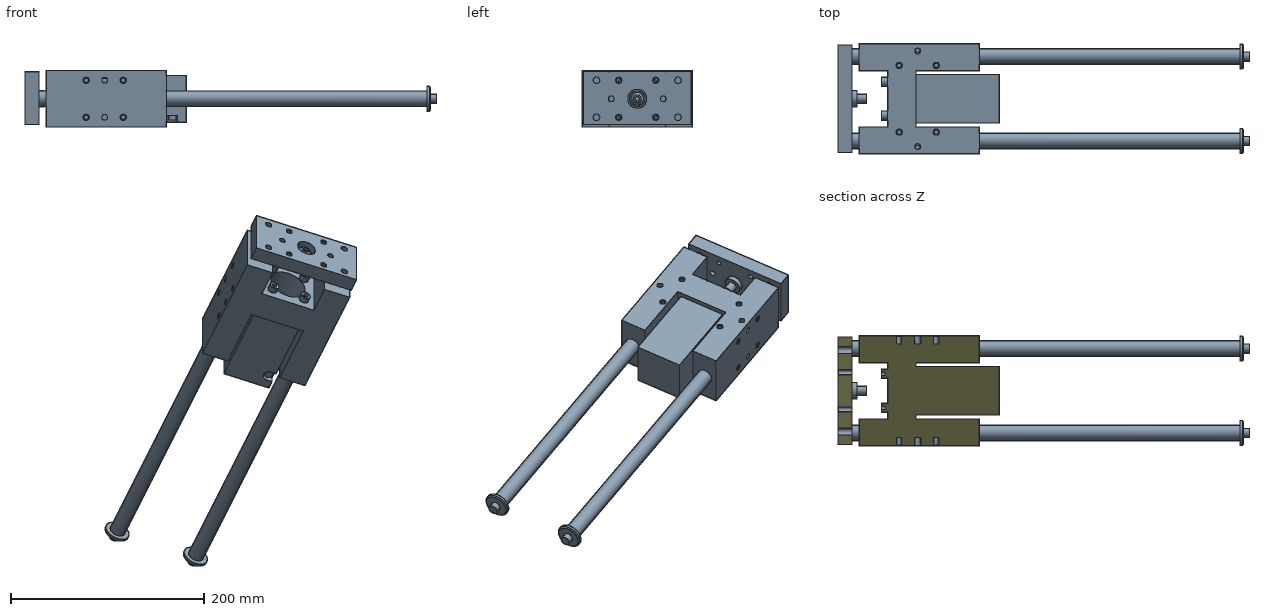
import cadquery as cq

TOTAL_LENGTH = 426.0

ROD_DIAMETER = 16.0
ROD_SPACING = 87.5
STOP_FRONT = 415.8
STOP_THICKNESS = 4.0
STOP_DIAMETER = 26.0
STOP_CHAMFER = 1.3
STUB_DIAMETER = 10.0

PLATE_THICKNESS = 15.0
PLATE_WIDTH = 111.5
PLATE_TOP = 28.0
PLATE_BOTTOM = -27.0
PLATE_HOLE_Z = 19.0
PLATE_SCREW_HOLE_Y = 42.0
PLATE_SCREW_HOLE_DIAMETER = 7.0
PLATE_DOWEL_Y = 27.0
PLATE_TAPPED_HOLE_Y = 19.0

COUPLING_RECESS_DIAMETER = 19.5
COUPLING_RECESS_DEPTH = 8.5
COUPLING_FLANGE_DIAMETER = 16.0
COUPLING_FLANGE_HEIGHT = 2.0
COUPLING_HEAD_DIAMETER = 13.0
COUPLING_HEAD_HEIGHT = 6.5
COUPLING_HEAD_CHAMFER = 2.5
COUPLING_SOCKET_DIAMETER = 4.5
COUPLING_SOCKET_DEPTH = 3.5
COUPLING_COLLAR_DIAMETER = 17.5
COUPLING_COLLAR_LENGTH = 5.0
COUPLING_PIN_DIAMETER = 10.0
COUPLING_PIN_END = 30.0

HOUSING_FRONT = 22.0
HOUSING_LENGTH = 124.5
HOUSING_WIDTH = 114.0
HOUSING_HEIGHT = 59.0
LEG_GAP = 58.0
WEB_FRONT = 51.5
WEB_LENGTH = 29.5
WEB_REAR = WEB_FRONT + WEB_LENGTH
BORE_DIAMETER = 38.5

MOUNT_CENTRE_X = 82.5
MOUNT_PITCH = 19.0
SIDE_HOLE_Z = 19.0
TOP_TAPPED_HOLE_Y = 34.5
TOP_DOWEL_Y = 49.5
DOWEL_DIAMETER = 6.0
TAPPED_HOLE_DIAMETER = 4.5
TAPPED_MOUTH_DIAMETER = 6.5
MOUNT_HOLE_DEPTH = 8.5

CAP_HEAD_DIAMETER = 10.0
CAP_HEAD_HEIGHT = 6.5
CAP_SCREW_OFFSET = 17.5
CAP_SOCKET_DIAMETER = 4.5
CAP_SOCKET_DEPTH = 3.5

BLOCK_LENGTH = 86.0
BLOCK_WIDTH = 50.3
BLOCK_HEIGHT = 48.5

PORT_X = 152.5
PORT_DIAMETER = 11.0
PORT_HEIGHT = 7.0
PORT_AXIS_INSET = 6.0
PLUG_DIAMETER = 8.0
PLUG_LENGTH = 4.3


def x_cylinder(diameter, start, end, y=0.0, z=0.0):
    """Cylinder along X from start to end."""
    return cq.Workplane("YZ", origin=(start, y, z)).circle(diameter / 2).extrude(end - start)


def box(start, length, width, bottom, top):
    """Box that starts at X = start and is centred on Y = 0."""
    base = cq.Workplane("XY", origin=(start, 0, bottom))
    return base.box(length, width, top - bottom, centered=(False, True, False))


def plain_hole(origin, direction, diameter, depth):
    """Cylindrical cutter that starts on a face and goes in along direction."""
    return cq.Workplane(cq.Solid.makeCylinder(diameter / 2, depth, cq.Vector(origin), cq.Vector(direction)))


def tapped_hole(origin, direction, depth):
    """Cutter for a small hole whose mouth is chamfered at 45 degrees."""
    mouth_radius = TAPPED_MOUTH_DIAMETER / 2
    hole_radius = TAPPED_HOLE_DIAMETER / 2
    mouth = cq.Solid.makeCone(
        mouth_radius, hole_radius, mouth_radius - hole_radius, cq.Vector(origin), cq.Vector(direction)
    )
    return plain_hole(origin, direction, TAPPED_HOLE_DIAMETER, depth).union(cq.Workplane(mouth))


def make_rod(y):
    """Guide rod with a chamfered stop disc and a thin stub at its rear end."""
    stop_rear = STOP_FRONT + STOP_THICKNESS
    rod = x_cylinder(ROD_DIAMETER, PLATE_THICKNESS, STOP_FRONT, y)
    stop = x_cylinder(STOP_DIAMETER, STOP_FRONT, stop_rear, y).faces(">X").chamfer(STOP_CHAMFER)
    stub = x_cylinder(STUB_DIAMETER, stop_rear, TOTAL_LENGTH, y)
    return rod.union(stop).union(stub)


def make_plate():
    """End plate with its screw holes, dowel holes, tapped holes and central recess."""
    plate = box(0, PLATE_THICKNESS, PLATE_WIDTH, PLATE_BOTTOM, PLATE_TOP)
    inward = (1, 0, 0)
    for side in (-1, 1):
        dowel_at = (0, side * PLATE_DOWEL_Y, 0)
        plate = plate.cut(plain_hole(dowel_at, inward, DOWEL_DIAMETER, PLATE_THICKNESS))
        for z in (-PLATE_HOLE_Z, PLATE_HOLE_Z):
            screw_at = (0, side * PLATE_SCREW_HOLE_Y, z)
            tapped_at = (0, side * PLATE_TAPPED_HOLE_Y, z)
            plate = plate.cut(plain_hole(screw_at, inward, PLATE_SCREW_HOLE_DIAMETER, PLATE_THICKNESS))
            plate = plate.cut(tapped_hole(tapped_at, inward, PLATE_THICKNESS))
    return plate.cut(x_cylinder(COUPLING_RECESS_DIAMETER, 0, COUPLING_RECESS_DEPTH))


def make_coupling_head():
    """Flanged and chamfered socket head at the bottom of the plate recess."""
    head_front = COUPLING_RECESS_DEPTH - COUPLING_HEAD_HEIGHT
    flange_front = COUPLING_RECESS_DEPTH - COUPLING_FLANGE_HEIGHT
    head = x_cylinder(COUPLING_HEAD_DIAMETER, head_front, COUPLING_RECESS_DEPTH)
    head = head.faces("<X").chamfer(COUPLING_HEAD_CHAMFER)
    flange = x_cylinder(COUPLING_FLANGE_DIAMETER, flange_front, COUPLING_RECESS_DEPTH)
    socket = x_cylinder(COUPLING_SOCKET_DIAMETER, head_front, head_front + COUPLING_SOCKET_DEPTH)
    return head.union(flange).cut(socket)


def make_coupling_pin():
    """Collar and pin behind the end plate."""
    collar_rear = PLATE_THICKNESS + COUPLING_COLLAR_LENGTH
    collar = x_cylinder(COUPLING_COLLAR_DIAMETER, PLATE_THICKNESS, collar_rear)
    pin = x_cylinder(COUPLING_PIN_DIAMETER, collar_rear, COUPLING_PIN_END)
    return collar.union(pin)


def make_slide():
    """Moving body: end plate, coupling bolt and both rods."""
    slide = make_plate().union(make_coupling_head()).union(make_coupling_pin())
    for side in (-1, 1):
        slide = slide.union(make_rod(side * ROD_SPACING / 2))
    return slide


def make_housing_shell():
    """H-shaped housing with the rod bores and the central bore through the web."""
    half_height = HOUSING_HEIGHT / 2
    housing_rear = HOUSING_FRONT + HOUSING_LENGTH
    shell = box(HOUSING_FRONT, HOUSING_LENGTH, HOUSING_WIDTH, -half_height, half_height)
    for start, end in ((HOUSING_FRONT, WEB_FRONT), (WEB_REAR, housing_rear)):
        shell = shell.cut(box(start, end - start, LEG_GAP, -half_height, half_height))
    for side in (-1, 1):
        shell = shell.cut(x_cylinder(ROD_DIAMETER, HOUSING_FRONT, housing_rear, side * ROD_SPACING / 2))
    return shell.cut(x_cylinder(BORE_DIAMETER, WEB_FRONT, WEB_REAR))


def cut_mounting_holes(shell):
    """Rows of tapped and dowel holes in both side faces and in the top face."""
    down = (0, 0, -1)
    top = HOUSING_HEIGHT / 2
    tapped_xs = (MOUNT_CENTRE_X - MOUNT_PITCH, MOUNT_CENTRE_X + MOUNT_PITCH)
    for side in (-1, 1):
        inward = (0, -side, 0)
        face_y = side * HOUSING_WIDTH / 2
        for z in (-SIDE_HOLE_Z, SIDE_HOLE_Z):
            dowel_at = (MOUNT_CENTRE_X, face_y, z)
            shell = shell.cut(plain_hole(dowel_at, inward, DOWEL_DIAMETER, MOUNT_HOLE_DEPTH))
            for x in tapped_xs:
                shell = shell.cut(tapped_hole((x, face_y, z), inward, MOUNT_HOLE_DEPTH))
        dowel_at = (MOUNT_CENTRE_X, side * TOP_DOWEL_Y, top)
        shell = shell.cut(plain_hole(dowel_at, down, DOWEL_DIAMETER, MOUNT_HOLE_DEPTH))
        for x in tapped_xs:
            shell = shell.cut(tapped_hole((x, side * TOP_TAPPED_HOLE_Y, top), down, MOUNT_HOLE_DEPTH))
    return shell


def make_cap_screw(y, z):
    """Socket head standing on the front of the web."""
    head_front = WEB_FRONT - CAP_HEAD_HEIGHT
    head = x_cylinder(CAP_HEAD_DIAMETER, head_front, WEB_FRONT, y, z)
    return head.cut(x_cylinder(CAP_SOCKET_DIAMETER, head_front, head_front + CAP_SOCKET_DEPTH, y, z))


def make_block():
    """Cylinder block with the port notch, open to the side and below, and its plug."""
    half_height = BLOCK_HEIGHT / 2
    block = box(WEB_REAR, BLOCK_LENGTH, BLOCK_WIDTH, -half_height, half_height)
    side_y = -BLOCK_WIDTH / 2
    axis_y = side_y + PORT_AXIS_INSET
    port_top = -half_height + PORT_HEIGHT
    port_base = cq.Workplane("XY", origin=(PORT_X, axis_y, port_top))
    notch = port_base.circle(PORT_DIAMETER / 2).extrude(-PORT_HEIGHT)
    mouth = port_base.center(0, side_y - axis_y).rect(PORT_DIAMETER, 2 * PORT_AXIS_INSET).extrude(-PORT_HEIGHT)
    plug = port_base.circle(PLUG_DIAMETER / 2).extrude(-PLUG_LENGTH)
    return block.cut(notch).cut(mouth).union(plug)


def make_housing():
    """Fixed body: housing, cylinder block and cap screws."""
    housing = cut_mounting_holes(make_housing_shell()).union(make_block())
    for y in (-CAP_SCREW_OFFSET, CAP_SCREW_OFFSET):
        for z in (-CAP_SCREW_OFFSET, CAP_SCREW_OFFSET):
            housing = housing.union(make_cap_screw(y, z))
    return housing


slide = make_slide()
housing = make_housing()
result = cq.Compound.makeCompound([slide.val(), housing.val()])